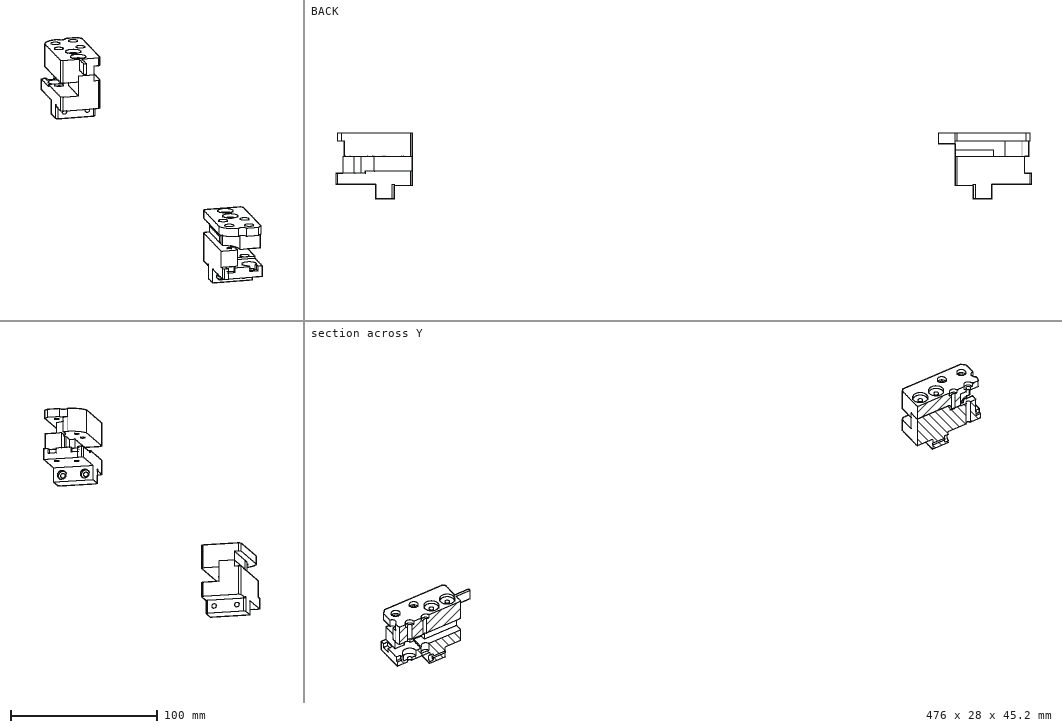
import cadquery as cq
import math

TOTAL_LENGTH = 476.0
WIDTH = 28.0
HEIGHT = 45.2
STATION_LENGTH = 52.5
HALF_WIDTH = WIDTH / 2
EDGE_CHAMFER = 1.5

PLATE_BOTTOM = 39.5
KEY_TOP = 33.5
SPLIT_LEVEL = 29.0
FLOOR_TOP = 19.0
LEDGE_TOP = 17.5
BASE_BOTTOM = 10.0
HEEL_BOTTOM = 9.0

PLATE_START = 1.0
PLATE_CORNER = 3.0
NOSE_START = 2.0
NOSE_ARC_END = 10.0
NOSE_RADIUS = 12.5
NOTCH_HALF_WIDTH = 3.0
NOTCH_DEPTH = 3.0
NECK_SIDE = 9.5
SCALLOP_CENTER_X = 6.5
SCALLOP_CENTER_Y = 12.5
SCALLOP_RADIUS = 12.0
PLAIN_NECK_START = 5.5

MOUNT_HOLES = [(8.0, 6.5), (11.0, -6.5)]
PIN_HOLES = [(23.5, 7.5), (23.5, -7.5)]
CLAMP_HOLES = [(33.0, 0), (45.5, 0)]
SMALL_BORE = 3.2
SMALL_COUNTERBORE = 6.0
SMALL_COUNTERBORE_DEPTH = 3.0
CLAMP_BORE = 3.2
CLAMP_COUNTERBORE = 10.5
CLAMP_COUNTERBORE_DEPTH = 2.5
BASE_RECESS = 10.0
BASE_RECESS_DEPTH = 5.0

TAB_LENGTH = 11.5
TAB_THICKNESS = 2.0
TAB_HEIGHT = 7.5

BASE_START = 1.0
BUMPER_DIAMETER = 3.2
BUMPER_SIDE = -11.5
WALL_GROOVE_X = 15.0
WALL_GROOVE_DIAMETER = 5.0
LEDGE_LENGTH = 20.0
WALL_START = 5.0
WALL_INNER_SIDE = 2.5
KEY_START = 26.0
KEY_INNER_SIDE = -1.5
LUG_START = 27.0
LUG_END = 40.0
LUG_HOLE_OFFSET = 8.0
LUG_HOLE_LEVEL = 5.0
END_NOTCH_WIDTH = 5.5
END_NOTCH_LENGTH = 3.5
END_NOTCH_DEPTH = 3.5


def block(x_range, y_range, z_range):
    """Box between the given limits; the Y limits may come in either order."""
    y_low, y_high = sorted(y_range)
    size = (x_range[1] - x_range[0], y_high - y_low, z_range[1] - z_range[0])
    return cq.Workplane().box(*size, centered=False).translate((x_range[0], y_low, z_range[0]))


def upright_cylinders(points, diameter, z_range):
    """Vertical cylinders at the given points."""
    return (
        cq.Workplane(origin=(0, 0, z_range[0]))
        .pushPoints(points)
        .circle(diameter / 2)
        .extrude(z_range[1] - z_range[0])
    )


def nose_arc_points():
    """Start, middle and end of the convex nose arc, which leaves the end face tangentially."""
    drop = math.sqrt(NOSE_RADIUS**2 - (NOSE_RADIUS - (NOSE_ARC_END - NOSE_START)) ** 2)
    center_x = NOSE_START + NOSE_RADIUS
    center_y = drop - HALF_WIDTH
    half_angle = math.asin(drop / NOSE_RADIUS) / 2
    middle = (
        center_x - NOSE_RADIUS * math.cos(half_angle),
        center_y - NOSE_RADIUS * math.sin(half_angle),
    )
    return (NOSE_START, center_y), middle, (NOSE_ARC_END, -HALF_WIDTH)


def make_plate():
    """Top plate of the jaw, with a rounded nose corner and a notch in its end."""
    nose_start, nose_middle, nose_end = nose_arc_points()
    return (
        cq.Workplane(origin=(0, 0, PLATE_BOTTOM))
        .moveTo(PLATE_START, HALF_WIDTH - PLATE_CORNER)
        .lineTo(PLATE_START, NOTCH_HALF_WIDTH)
        .threePointArc((PLATE_START + NOTCH_DEPTH, 0), nose_start)
        .threePointArc(nose_middle, nose_end)
        .lineTo(STATION_LENGTH - EDGE_CHAMFER, -HALF_WIDTH)
        .lineTo(STATION_LENGTH, EDGE_CHAMFER - HALF_WIDTH)
        .lineTo(STATION_LENGTH, HALF_WIDTH - EDGE_CHAMFER)
        .lineTo(STATION_LENGTH - EDGE_CHAMFER, HALF_WIDTH)
        .lineTo(PLATE_START + PLATE_CORNER, HALF_WIDTH)
        .close()
        .extrude(HEIGHT - PLATE_BOTTOM)
    )


def make_neck(wall_side):
    """Thick part under the plate, scalloped on the wall side of the base."""
    shelf = SCALLOP_CENTER_Y - SCALLOP_RADIUS
    rise = SCALLOP_CENTER_Y - NECK_SIDE
    scallop_end = SCALLOP_CENTER_X + math.sqrt(SCALLOP_RADIUS**2 - rise**2)
    half_angle = math.acos(rise / SCALLOP_RADIUS) / 2
    scallop_middle = (
        SCALLOP_CENTER_X + SCALLOP_RADIUS * math.sin(half_angle),
        wall_side * (SCALLOP_CENTER_Y - SCALLOP_RADIUS * math.cos(half_angle)),
    )
    nose_start, nose_middle, nose_end = nose_arc_points()
    outline = cq.Workplane(origin=(0, 0, SPLIT_LEVEL))
    if wall_side > 0:
        outline = outline.moveTo(*nose_end).threePointArc(nose_middle, nose_start)
        outline = outline.lineTo(NOSE_START, shelf)
    else:
        outline = outline.moveTo(PLAIN_NECK_START, HALF_WIDTH)
        outline = outline.lineTo(PLAIN_NECK_START, -shelf)
    return (
        outline.lineTo(SCALLOP_CENTER_X, wall_side * shelf)
        .threePointArc(scallop_middle, (scallop_end, wall_side * NECK_SIDE))
        .lineTo(STATION_LENGTH, wall_side * NECK_SIDE)
        .lineTo(STATION_LENGTH, wall_side * (EDGE_CHAMFER - HALF_WIDTH))
        .lineTo(STATION_LENGTH - EDGE_CHAMFER, -wall_side * HALF_WIDTH)
        .close()
        .extrude(PLATE_BOTTOM - SPLIT_LEVEL)
    )


def make_key(wall_side):
    """Raised block of the base that the screws of the jaw pull against."""
    return block(
        (KEY_START, STATION_LENGTH),
        (wall_side * KEY_INNER_SIDE, wall_side * NECK_SIDE),
        (LEDGE_TOP, KEY_TOP),
    )


def make_jaw(wall_side, has_tab):
    """Upper body: plate and neck, with a recess that fits over the key of the base."""
    jaw = make_plate().union(make_neck(wall_side)).cut(make_key(wall_side))
    small_holes = MOUNT_HOLES + PIN_HOLES
    full = (SPLIT_LEVEL, HEIGHT)
    jaw = jaw.cut(upright_cylinders(small_holes, SMALL_BORE, full))
    counterbore = (HEIGHT - SMALL_COUNTERBORE_DEPTH, HEIGHT)
    jaw = jaw.cut(upright_cylinders(small_holes, SMALL_COUNTERBORE, counterbore))
    jaw = jaw.cut(upright_cylinders(CLAMP_HOLES, CLAMP_BORE, full))
    counterbore = (HEIGHT - CLAMP_COUNTERBORE_DEPTH, HEIGHT)
    jaw = jaw.cut(upright_cylinders(CLAMP_HOLES, CLAMP_COUNTERBORE, counterbore))
    if has_tab:
        tab = block(
            (STATION_LENGTH - EDGE_CHAMFER, STATION_LENGTH + TAB_LENGTH),
            (-TAB_THICKNESS / 2, TAB_THICKNESS / 2),
            (HEIGHT - TAB_HEIGHT, HEIGHT),
        )
        clamp_clearance = upright_cylinders(CLAMP_HOLES, CLAMP_COUNTERBORE, full)
        jaw = jaw.union(tab.cut(clamp_clearance))
    return jaw


def make_lug():
    """Lug under the base, with two counterbored holes along X."""
    lug = block((LUG_START, LUG_END), (-HALF_WIDTH, HALF_WIDTH), (0, BASE_BOTTOM))
    lug = lug.edges("|Z and >X").chamfer(EDGE_CHAMFER)
    positions = [(-LUG_HOLE_OFFSET, LUG_HOLE_LEVEL), (LUG_HOLE_OFFSET, LUG_HOLE_LEVEL)]
    face = cq.Workplane("YZ", origin=(LUG_START, 0, 0)).pushPoints(positions)
    bores = face.circle(SMALL_BORE / 2).extrude(LUG_END - LUG_START)
    counterbores = face.circle(SMALL_COUNTERBORE / 2).extrude(SMALL_COUNTERBORE_DEPTH)
    return lug.cut(bores).cut(counterbores)


def make_base(wall_side):
    """Lower body: stepped slab with a side wall, a key and a lug."""
    sides = (-HALF_WIDTH, HALF_WIDTH)
    base = block((BASE_START, STATION_LENGTH), sides, (BASE_BOTTOM, LEDGE_TOP))
    base = base.union(block((LEDGE_LENGTH, STATION_LENGTH), sides, (LEDGE_TOP, FLOOR_TOP)))
    base = base.union(block((LUG_END, STATION_LENGTH), sides, (HEEL_BOTTOM, BASE_BOTTOM)))
    wall_sides = (wall_side * WALL_INNER_SIDE, wall_side * HALF_WIDTH)
    base = base.union(block((WALL_START, STATION_LENGTH), wall_sides, (LEDGE_TOP, SPLIT_LEVEL)))
    base = base.edges("|Z and >X").chamfer(EDGE_CHAMFER)
    groove_center = (WALL_GROOVE_X, wall_side * WALL_INNER_SIDE)
    base = base.cut(upright_cylinders([groove_center], WALL_GROOVE_DIAMETER, (LEDGE_TOP, SPLIT_LEVEL)))
    base = base.union(make_key(wall_side)).union(make_lug())
    bumper_center = (BUMPER_DIAMETER / 2, BUMPER_SIDE)
    base = base.union(upright_cylinders([bumper_center], BUMPER_DIAMETER, (BASE_BOTTOM, LEDGE_TOP)))

    base = base.cut(upright_cylinders(MOUNT_HOLES, SMALL_BORE, (BASE_BOTTOM, SPLIT_LEVEL)))
    recess_levels = (LEDGE_TOP - BASE_RECESS_DEPTH, FLOOR_TOP)
    for holes, diameter in ((MOUNT_HOLES, BASE_RECESS), (PIN_HOLES, SMALL_COUNTERBORE)):
        open_holes = [hole for hole in holes if hole[1] * wall_side < 0]
        base = base.cut(upright_cylinders(open_holes, diameter, recess_levels))
    for side in (-1, 1):
        middle = side * LUG_HOLE_OFFSET
        notch = block(
            (BASE_START, BASE_START + END_NOTCH_LENGTH),
            (middle - END_NOTCH_WIDTH / 2, middle + END_NOTCH_WIDTH / 2),
            (LEDGE_TOP - END_NOTCH_DEPTH, LEDGE_TOP),
        )
        base = base.cut(notch)
    return base


def at_far_end(body):
    """Mirror a body to the +X end of the assembly."""
    return body.mirror("YZ", (TOTAL_LENGTH / 2, 0, 0))


near_jaw = make_jaw(wall_side=1, has_tab=True)
near_base = make_base(wall_side=1)
far_jaw = at_far_end(make_jaw(wall_side=-1, has_tab=False))
far_base = at_far_end(make_base(wall_side=-1))

result = cq.Compound.makeCompound([near_jaw.val(), near_base.val(), far_jaw.val(), far_base.val()])